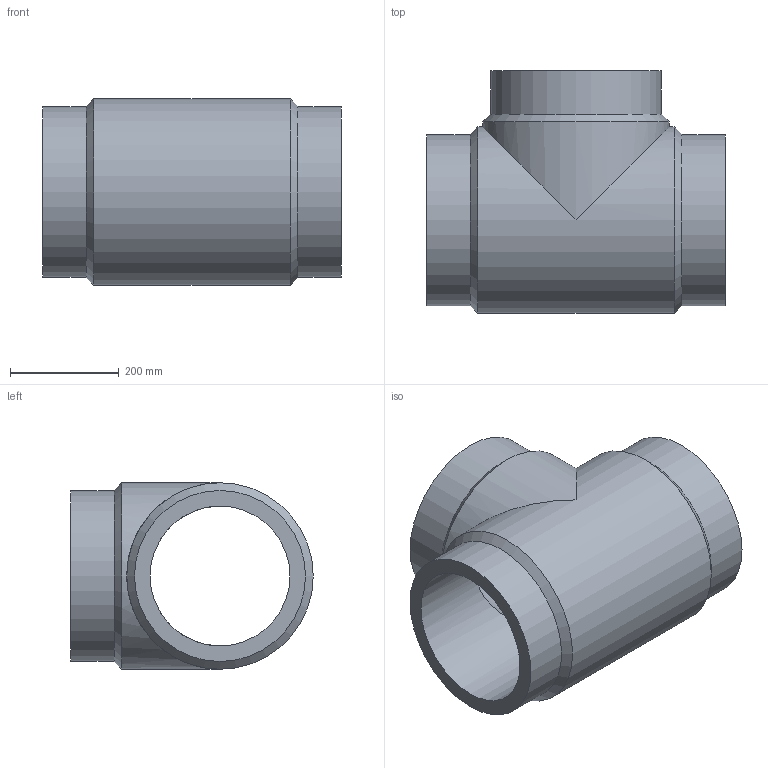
import cadquery as cq

pipe_diameter = 315.0
pipe_wall = 28.6
run_length = 550.0
spigot_length = 80.0

pipe_radius = pipe_diameter / 2
bore_radius = pipe_radius - pipe_wall
shoulder_size = pipe_wall / 2
body_radius = pipe_radius + shoulder_size
arm_length = run_length / 2
shoulder_end = arm_length - spigot_length
shoulder_start = shoulder_end - shoulder_size

arm_outline = [
    (shoulder_start, body_radius),
    (shoulder_end, pipe_radius),
    (arm_length, pipe_radius),
    (arm_length, 0),
]


def make_run():
    """Solid straight run along X, with a conical shoulder and spigot at both ends."""
    mirrored_outline = [(-distance, radius) for distance, radius in reversed(arm_outline)]
    profile = cq.Workplane("XY").polyline(mirrored_outline + arm_outline).close()
    return profile.revolve(360, (0, 0, 0), (1, 0, 0))


def make_branch():
    """Solid branch along +Y, from the centre of the run out to its spigot."""
    half_profile = [(0, 0), (0, body_radius)] + arm_outline
    branch = cq.Workplane("XY").polyline(half_profile).close().revolve(360, (0, 0, 0), (1, 0, 0))
    return branch.rotate((0, 0, 0), (0, 0, 1), 90)


def make_bores():
    """Through bore of the run joined by the branch bore."""
    run_bore = cq.Workplane("YZ").circle(bore_radius).extrude(arm_length, both=True)
    branch_bore = cq.Workplane("XZ").circle(bore_radius).extrude(-arm_length)
    return run_bore.union(branch_bore)


result = make_run().union(make_branch()).cut(make_bores())